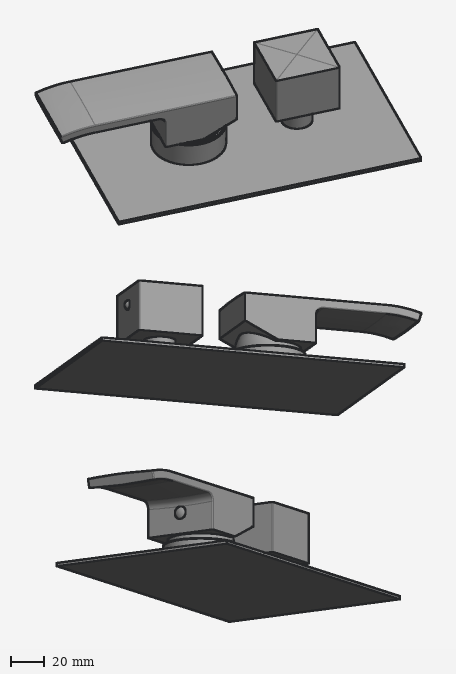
import cadquery as cq
import math

plate_width = 120.0
plate_length = 190.0
plate_thickness = 2.0

knob_y = 37.7
knob_side = 40.0
knob_base_z = 19.6
knob_top_z = 50.0
knob_crown = 0.39
knob_corner_radius = 0.5
stem_diameter = 18.8
knob_button_diameter = 6.0
knob_button_height = 2.0
knob_button_z = 39.8

collar_y = -30.3
collar_diameter = 44.8
collar_top_z = 17.2
collar_chamfer = 0.6
neck_radius = 19.8
neck_centre_z = 18.0

lever_width = 46.0
lever_edge_radius = 0.6
blade_top_z = 47.6
blade_bottom_z = 42.1
blade_crown = 0.7
bend_y = -96.9
bend_radius = 77.0
bend_angle = 16.65

tip_zone_y = bend_y - bend_radius * math.sin(math.radians(0.75 * bend_angle))
selection_tolerance = 0.01

body_rear_y = collar_y + collar_diameter / 2
body_front_y = collar_y - collar_diameter / 2
body_base_z = 20.4
body_rear_z = 30.2
slope_end_y = -28.4
body_fillet_radius = 4.5
body_button_diameter = 7.6
body_button_height = 1.2
body_button_z = 33.2


def dome_button(diameter, height):
    """Spherical cap standing on the XY plane at the origin and rising along +Z."""
    base_radius = diameter / 2
    return (
        cq.Workplane("XZ")
        .lineTo(base_radius, 0)
        .threePointArc(cap_midpoint(base_radius, height), (0, height))
        .close()
        .revolve(360, (0, 0, 0), (0, 1, 0))
    )


def cap_midpoint(base_radius, height):
    """Point halfway along the arc from the rim of a spherical cap to its apex."""
    sphere_radius = (base_radius**2 + height**2) / (2 * height)
    half_angle = math.asin(base_radius / sphere_radius) / 2
    rise = height - sphere_radius * (1 - math.cos(half_angle))
    return (sphere_radius * math.sin(half_angle), rise)


def make_plate():
    return cq.Workplane("XY").box(plate_width, plate_length, plate_thickness, centered=(True, True, False))


def gabled_block(plane):
    """Block with a shallow gable across its top, drawn on the given upright plane."""
    half_side = knob_side / 2
    return (
        cq.Workplane(plane)
        .moveTo(-half_side, knob_base_z)
        .lineTo(half_side, knob_base_z)
        .lineTo(half_side, knob_top_z)
        .lineTo(0, knob_top_z + knob_crown)
        .lineTo(-half_side, knob_top_z)
        .close()
        .extrude(half_side, both=True)
    )


def crowned_block():
    """Square block with straight top edges and a top that rises to a shallow apex."""
    rounded_column = (
        cq.Workplane("XY")
        .rect(knob_side, knob_side)
        .extrude(knob_top_z + 2 * knob_crown)
        .edges("|Z")
        .fillet(knob_corner_radius)
    )
    return gabled_block("XZ").intersect(gabled_block("YZ")).intersect(rounded_column)


def make_knob():
    stem = cq.Workplane("XY").circle(stem_diameter / 2).extrude(knob_base_z)
    button = (
        dome_button(knob_button_diameter, knob_button_height)
        .rotate((0, 0, 0), (1, 0, 0), -90)
        .translate((0, knob_side / 2, knob_button_z))
    )
    return stem.union(crowned_block()).union(button).translate((0, knob_y, 0))


def make_collar():
    collar = (
        cq.Workplane("XY")
        .circle(collar_diameter / 2)
        .extrude(collar_top_z)
        .faces(">Z")
        .chamfer(collar_chamfer)
    )
    neck = cq.Workplane("XY").sphere(neck_radius).translate((0, 0, neck_centre_z))
    above_plate = (
        cq.Workplane("XY", origin=(0, 0, plate_thickness))
        .circle(neck_radius)
        .extrude(blade_bottom_z - plate_thickness)
    )
    return collar.union(neck.intersect(above_plate)).translate((0, collar_y, 0))


def blade_section(y):
    """Cross-section of the blade at the given Y: crowned top and bottom, upright sides."""
    half_width = lever_width / 2
    return (
        cq.Workplane("XZ", origin=(0, y, 0))
        .moveTo(-half_width, blade_bottom_z)
        .threePointArc((0, blade_bottom_z - blade_crown), (half_width, blade_bottom_z))
        .lineTo(half_width, blade_top_z)
        .threePointArc((0, blade_top_z + blade_crown), (-half_width, blade_top_z))
        .close()
    )


def make_blade():
    bend_axis_z = blade_top_z - bend_radius
    straight = blade_section(body_rear_y).extrude(body_rear_y - bend_y)
    tip = blade_section(bend_y).revolve(bend_angle, (0, bend_axis_z, 0), (1, bend_axis_z, 0))
    return straight.union(tip)


def make_lever_body():
    return (
        cq.Workplane("YZ")
        .moveTo(body_rear_y, blade_top_z)
        .lineTo(body_rear_y, body_rear_z)
        .lineTo(slope_end_y, body_base_z)
        .lineTo(body_front_y, body_base_z)
        .lineTo(body_front_y, blade_top_z)
        .close()
        .extrude(lever_width / 2, both=True)
    )


def round_inner_corner(lever):
    """Fillet the corner between the front of the body and the underside of the blade."""
    corner_box = cq.selectors.BoxSelector(
        (-lever_width, body_front_y - selection_tolerance, blade_bottom_z - 2 * blade_crown),
        (lever_width, body_front_y + selection_tolerance, blade_bottom_z + blade_crown),
    )
    return lever.edges(corner_box).edges("not |Z").fillet(body_fillet_radius)


def is_exposed_edge(edge):
    """True for the long side edges of the blade, its tip, and the upright front edges of the body."""
    centre = edge.Center()
    on_side = abs(abs(centre.x) - lever_width / 2) < selection_tolerance
    in_front = centre.y < body_front_y + selection_tolerance
    on_top = centre.z > blade_top_z - selection_tolerance
    at_tip = centre.y < tip_zone_y
    return on_side and (in_front or on_top) or at_tip


def make_lever():
    lever = round_inner_corner(make_blade().union(make_lever_body()))
    exposed_edges = [edge for edge in lever.edges().vals() if is_exposed_edge(edge)]
    lever = lever.newObject(exposed_edges).fillet(lever_edge_radius)
    button = (
        dome_button(body_button_diameter, body_button_height)
        .rotate((0, 0, 0), (1, 0, 0), 90)
        .translate((0, body_front_y, body_button_z))
    )
    return lever.union(button)


result = make_plate().union(make_knob()).union(make_collar()).union(make_lever())